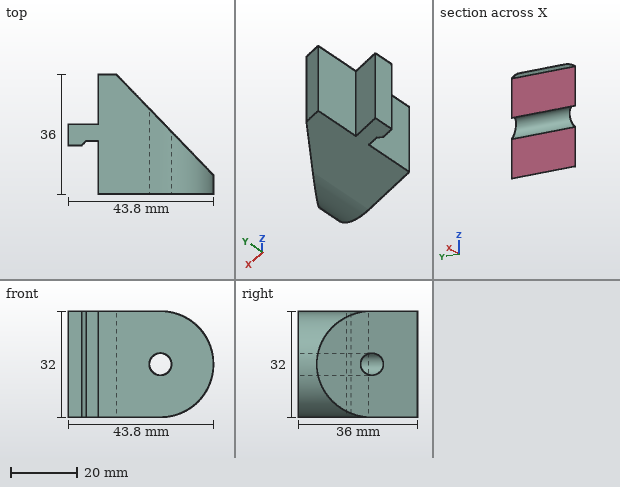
import cadquery as cq

length = 43.8
depth = 36.0
height = 32.0
hole_diameter = 6.6

body_start = 9.02
slope_start = 14.55
end_thickness = 5.65

rail_back = 21.05
rail_front = 14.6
neck_front = 15.95
hook_length = 4.07
hook_chamfer = neck_front - rail_front

end_radius = height / 2
end_center_x = length - end_radius
mid_z = height / 2


def make_profile_block():
    """Body and hooked rail extruded over the full height."""
    outline = [
        (body_start, 0),
        (length, 0),
        (length, end_thickness),
        (slope_start, depth),
        (body_start, depth),
        (body_start, rail_back),
        (0, rail_back),
        (0, rail_front),
        (hook_length, rail_front),
        (hook_length + hook_chamfer, neck_front),
        (body_start, neck_front),
    ]
    return cq.Workplane("XY").polyline(outline).close().extrude(height)


def make_round_end_envelope():
    """D-shaped prism along Y that rounds the +X end."""
    return (
        cq.Workplane("XZ")
        .lineTo(end_center_x, 0)
        .threePointArc((length, mid_z), (end_center_x, height))
        .lineTo(0, height)
        .close()
        .extrude(-depth)
    )


def make_hole():
    """Through hole along Y, concentric with the rounded end."""
    return (
        cq.Workplane("XZ")
        .center(end_center_x, mid_z)
        .circle(hole_diameter / 2)
        .extrude(-depth)
    )


result = make_profile_block().intersect(make_round_end_envelope()).cut(make_hole())